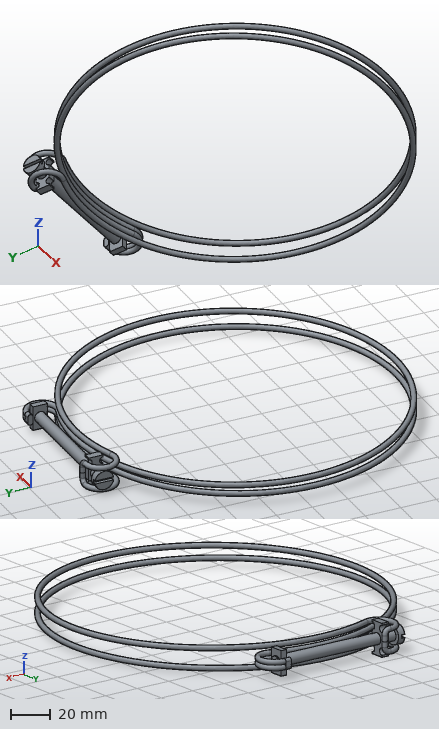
import cadquery as cq
import math


ring_outer_diameter = 182.9
wire_radius = 1.5
overall_y = 193.5
ring_radius = ring_outer_diameter / 2 - wire_radius

hook_x = 33.5
hook_top_y = overall_y - ring_outer_diameter / 2 - wire_radius
hook_radius = (hook_x**2 + hook_top_y**2 - ring_radius**2) / (2 * (ring_radius + hook_top_y))
hook_y = hook_top_y - hook_radius
hook_angle = math.atan2(hook_x, hook_y)
outer_hook_z = 6.0
inner_hook_z = wire_radius
bend_radius = 2.9

cap_length = 3.5

screw_y = 94.8
shaft_diameter = 6.2
shaft_end_x = 34.8
head_start_x = -43.7
head_diameter = 10.5
head_length = 4.0
slot_width = 1.7
slot_depth = 2.0

plate_width = 8.1
grooved_plate_x = -34.0
grooved_plate_thickness = 4.0
grooved_plate_height = 18.0
groove_radius = 2.0
plain_plate_x = 30.5
plain_plate_thickness = 3.5
plain_plate_height = 13.5


def cylinder_along_x(start_x, length, diameter):
    return cq.Workplane("YZ", origin=(start_x, screw_y, 0)).circle(diameter / 2).extrude(length)


def make_screw():
    head = cylinder_along_x(head_start_x, head_length, head_diameter)
    slot = cq.Workplane("XY").box(slot_depth, head_diameter, slot_width, centered=(False, True, True))
    slot = slot.translate((head_start_x, screw_y, 0))
    shaft_start_x = head_start_x + head_length
    shaft = cylinder_along_x(shaft_start_x, shaft_end_x - shaft_start_x, shaft_diameter)
    return head.cut(slot).union(shaft)


def make_plate(start_x, thickness, height):
    plate = cq.Workplane("YZ", origin=(start_x, screw_y, 0)).rect(plate_width, height).extrude(thickness)
    return plate.cut(cylinder_along_x(start_x, thickness, shaft_diameter))


def make_grooved_plate():
    """Plate with four half-round grooves, level with the outer hooks."""
    plate = make_plate(grooved_plate_x, grooved_plate_thickness, grooved_plate_height)
    grooves = (
        cq.Workplane("YZ", origin=(grooved_plate_x, screw_y, 0))
        .rect(plate_width, 2 * outer_hook_z, forConstruction=True)
        .vertices()
        .circle(groove_radius)
        .extrude(grooved_plate_thickness)
    )
    return plate.cut(grooves)


def make_end_cap():
    return (
        cq.Workplane("YZ", origin=(hook_x - cap_length, hook_top_y, 0))
        .slot2D(4 * wire_radius, 2 * wire_radius, 90)
        .extrude(cap_length)
    )


def make_ring():
    """Helix that rises from the inner hook, past a full turn, to the outer hook."""
    turns = 1 + hook_angle / math.pi
    rise = outer_hook_z - inner_hook_z
    helix = cq.Wire.makeHelix(rise / turns, rise, ring_radius)
    ring = cq.Workplane("XZ").center(ring_radius, 0).circle(wire_radius).sweep(helix, isFrenet=True)
    start_angle = 90 - math.degrees(hook_angle)
    return ring.rotate((0, 0, 0), (0, 0, 1), start_angle).translate((0, 0, inner_hook_z))


def make_hook(z):
    """Hook on the +X side, from the straight end of the wire round to where it meets the ring."""
    return (
        cq.Workplane("YZ", origin=(hook_x, hook_top_y, z))
        .circle(wire_radius)
        .revolve(180 + math.degrees(hook_angle), (-hook_radius, 0), (-hook_radius, -1))
    )


def make_cross_rod():
    """Bent end of the outer hook, which turns down to the middle of the clamp."""
    rod_x = bend_radius - hook_x
    path = (
        cq.Workplane("XZ", origin=(0, hook_top_y, 0))
        .moveTo(rod_x, 0)
        .lineTo(rod_x, outer_hook_z - bend_radius)
        .tangentArcPoint((-hook_x, outer_hook_z), relative=False)
    )
    return cq.Workplane("XY", origin=(rod_x, hook_top_y, 0)).circle(wire_radius).sweep(path)


def make_upper_wire():
    """Wire from the middle of the cross rod, through the outer hook and the ring, to the inner hook."""
    inner_hook = make_hook(inner_hook_z)
    outer_hook = make_hook(outer_hook_z).mirror("YZ")
    wire = make_ring().union(inner_hook).union(outer_hook).union(make_cross_rod())
    return wire.cut(cylinder_along_x(head_start_x, head_length, head_diameter))


screw = make_screw()
grooved_plate = make_grooved_plate()
plain_plate = make_plate(plain_plate_x, plain_plate_thickness, plain_plate_height)
end_cap = make_end_cap()
upper_wire = make_upper_wire()
wires = [upper_wire, upper_wire.mirror("XY")]

result = cq.Compound.makeCompound([
    screw.val(),
    grooved_plate.val(),
    plain_plate.val(),
    end_cap.val(),
    *[wire.val() for wire in wires],
])